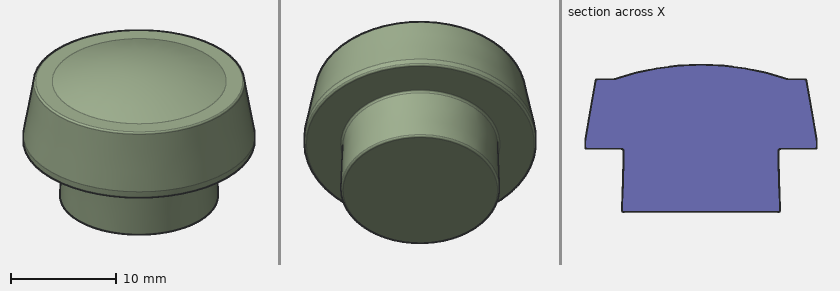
import cadquery as cq

head_radius = 11.0
total_height = 14.0

stem_foot_radius = 7.52
stem_neck_radius = 7.35
stem_height = 5.98

band_height = 0.77
rim_radius = 9.99
rim_height = 12.6
dome_radius = 8.25

edge_round = 0.2


def revolve_about_z(profile):
    """Close a half profile drawn as (radius, height) and turn it about the Z axis."""
    return profile.close().revolve(360, (0, 0, 0), (0, 1, 0))


def make_stem():
    stem = revolve_about_z(
        cq.Workplane("XZ")
        .lineTo(stem_foot_radius, 0)
        .lineTo(stem_neck_radius, stem_height)
        .lineTo(0, stem_height)
    )
    return stem.faces("<Z").edges().fillet(edge_round)


def make_head():
    head = revolve_about_z(
        cq.Workplane("XZ")
        .moveTo(0, stem_height)
        .lineTo(head_radius, stem_height)
        .lineTo(head_radius, stem_height + band_height)
        .lineTo(rim_radius, rim_height)
        .lineTo(0, rim_height)
    )
    return head.faces("<Z or >Z").edges().fillet(edge_round)


def make_dome():
    """Spherical cap standing on the flat top of the head."""
    dome_rise = total_height - rim_height
    sphere_radius = (dome_radius**2 + dome_rise**2) / (2 * dome_rise)
    sphere = cq.Workplane("XY").sphere(sphere_radius).translate((0, 0, total_height - sphere_radius))
    cap_space = cq.Workplane("XY").workplane(offset=rim_height).circle(head_radius).extrude(dome_rise)
    return sphere.intersect(cap_space)


def round_neck(body):
    """Fillet the inner corner where the stem meets the underside of the head."""
    underside_point = (0, (stem_neck_radius + head_radius) / 2, stem_height)
    underside = body.faces(cq.selectors.NearestToPointSelector(underside_point))
    neck_edge = underside.edges(cq.selectors.RadiusNthSelector(0))
    return neck_edge.fillet(edge_round)


result = round_neck(make_stem().union(make_head()).union(make_dome()))